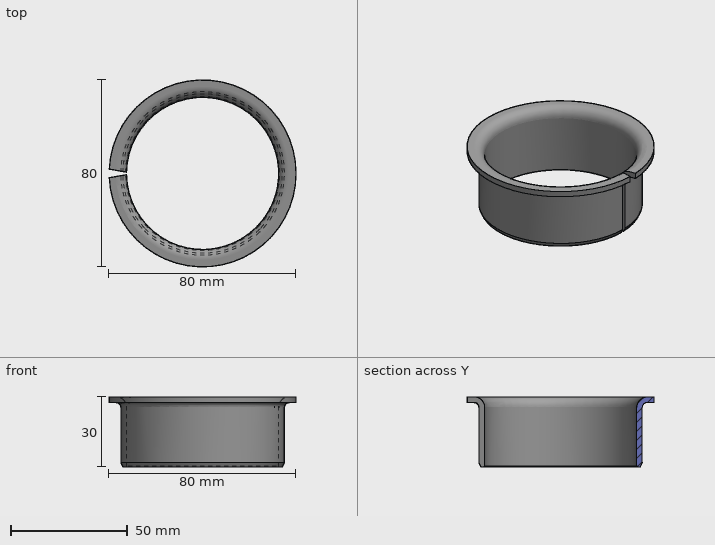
import cadquery as cq
import math

flange_radius = 40.0
body_diameter = 70.0
height = 30.0
bore_diameter = 64.95
outer_fillet = 2.0
chamfer_height = 1.8
chamfer_width = 0.9
bore_chamfer = 0.5
split_inner_gap = 0.95
split_half_angle = 10.0

body_radius = body_diameter / 2
bore_radius = bore_diameter / 2
wall = body_radius - bore_radius
inner_fillet = outer_fillet + wall
fillet_center_r = body_radius + outer_fillet
fillet_center_z = height - inner_fillet
flange_bottom = height - wall


def arc_middle(radius):
    """Midpoint of the quarter arc between the sleeve and the flange."""
    offset = radius * math.sqrt(0.5)
    return (fillet_center_r - offset, fillet_center_z + offset)


def flanged_sleeve():
    """Constant-wall bush: a sleeve bent outward into a flange at the top."""
    return (
        cq.Workplane("XZ")
        .moveTo(bore_radius, bore_chamfer)
        .lineTo(bore_radius + bore_chamfer, 0)
        .lineTo(body_radius - chamfer_width, 0)
        .lineTo(body_radius, chamfer_height)
        .lineTo(body_radius, fillet_center_z)
        .threePointArc(arc_middle(outer_fillet), (fillet_center_r, flange_bottom))
        .lineTo(flange_radius, flange_bottom)
        .lineTo(flange_radius, height)
        .lineTo(fillet_center_r, height)
        .threePointArc(arc_middle(inner_fillet), (bore_radius, fillet_center_z))
        .close()
        .revolve(360, (0, 0, 0), (0, 1, 0))
        .rotate((0, 0, 0), (0, 0, 1), 180)
    )


def split_cutter():
    """Wedge on the -X side that widens from the bore outward."""
    start_x = bore_radius - wall / 2
    end_x = flange_radius + wall
    slope = math.tan(math.radians(split_half_angle))

    def half_gap(x):
        return split_inner_gap / 2 + (x - bore_radius) * slope

    return (
        cq.Workplane("XY")
        .polyline([
            (-start_x, -half_gap(start_x)),
            (-end_x, -half_gap(end_x)),
            (-end_x, half_gap(end_x)),
            (-start_x, half_gap(start_x)),
        ])
        .close()
        .extrude(height)
    )


result = flanged_sleeve().cut(split_cutter())